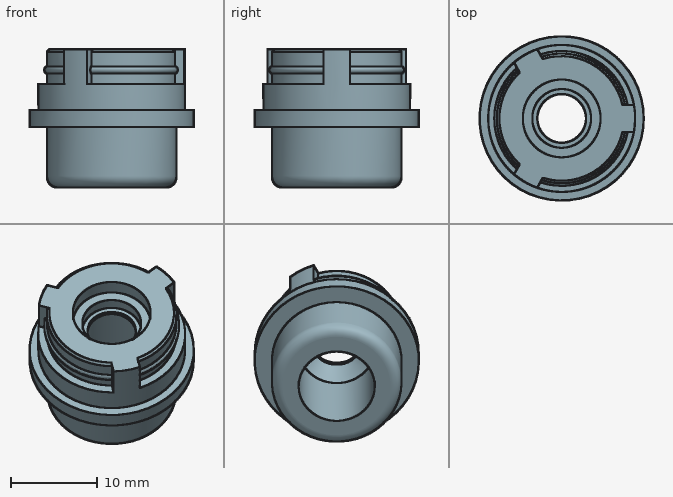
import cadquery as cq

flange_diameter = 19.0
collar_diameter = 17.0
spigot_diameter = 15.0
neck_diameter = 15.0

flange_bottom_z = 7.0
flange_top_z = 9.0
collar_top_z = 12.0
total_height = 16.0

spigot_fillet = 1.25
neck_chamfer = 0.3

bead_radius = 0.45
bead_projection = 0.3
bead_z = 13.6

tab_count = 3
tab_width = 3.1

seat_diameter = 9.0
seat_depth = 2.0
step_diameter = 6.8
step_depth = 1.5
throat_diameter = 5.6
throat_depth = 0.4
cavity_diameter = 8.8


def cylinder(diameter, bottom_z, top_z):
    """Solid cylinder on the Z axis between two heights."""
    return (
        cq.Workplane("XY")
        .workplane(offset=bottom_z)
        .circle(diameter / 2)
        .extrude(top_z - bottom_z)
    )


def make_body():
    """Round outside: spigot, flange, collar and chamfered neck."""
    spigot = cylinder(spigot_diameter, 0, flange_bottom_z).faces("<Z").edges().fillet(spigot_fillet)
    flange = cylinder(flange_diameter, flange_bottom_z, flange_top_z)
    collar = cylinder(collar_diameter, flange_top_z, collar_top_z)
    neck = cylinder(neck_diameter, collar_top_z, total_height).faces(">Z").edges().chamfer(neck_chamfer)
    return spigot.union(flange).union(collar).union(neck)


def make_bead():
    """Ring of round section, partly sunk into the neck."""
    center_radius = neck_diameter / 2 + bead_projection - bead_radius
    return (
        cq.Workplane("XZ")
        .center(center_radius, bead_z)
        .circle(bead_radius)
        .revolve(360, (-center_radius, 0), (-center_radius, 1))
    )


def make_tabs():
    """Parallel-sided tabs, evenly spaced from +X and flush with the collar."""
    collar_radius = collar_diameter / 2
    tab_height = total_height - collar_top_z
    bar = cq.Workplane("XY").box(collar_radius, tab_width, tab_height, centered=(False, True, False))
    bar = bar.translate((0, 0, collar_top_z))
    bars = bar
    for index in range(1, tab_count):
        bars = bars.union(bar.rotate((0, 0, 0), (0, 0, 1), index * 360 / tab_count))
    return bars.intersect(cylinder(collar_diameter, collar_top_z, total_height))


def make_bore():
    """Stepped bore that opens through a 45 degree cone into the lower cavity."""
    seat_r = seat_diameter / 2
    step_r = step_diameter / 2
    throat_r = throat_diameter / 2
    cavity_r = cavity_diameter / 2
    seat_z = total_height - seat_depth
    step_z = seat_z - step_depth
    throat_z = step_z - throat_depth
    cone_z = throat_z - (cavity_r - throat_r)
    profile = [
        (0, 0),
        (cavity_r, 0),
        (cavity_r, cone_z),
        (throat_r, throat_z),
        (throat_r, step_z),
        (step_r, step_z),
        (step_r, seat_z),
        (seat_r, seat_z),
        (seat_r, total_height),
        (0, total_height),
    ]
    return cq.Workplane("XZ").polyline(profile).close().revolve(360, (0, 0), (0, 1))


result = make_body().union(make_bead()).union(make_tabs()).cut(make_bore())